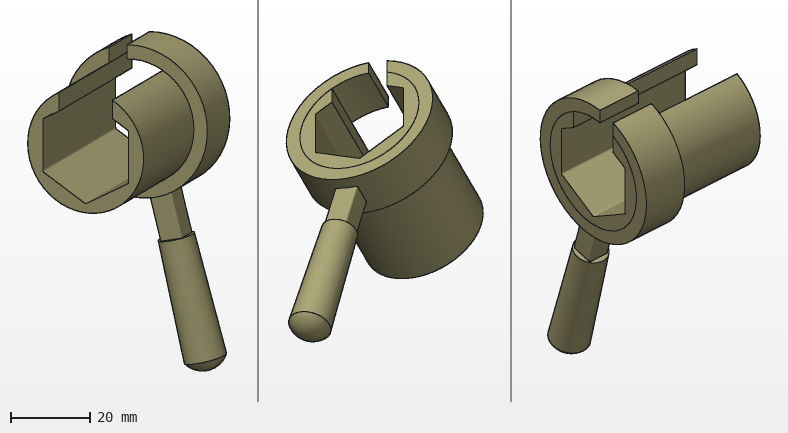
import cadquery as cq
import math


socket_length = 42.0
socket_diameter = 32.5
hex_across_flats = 24.0
hex_sides = 6
hex_corner_radius = 0.6
socket_slot_width = 15.0

ring_diameter = 40.0
ring_width = 13.0
ring_slot_width = 5.0

bar_angle = 14.75
bar_side = 6.35
bar_edge_radius = 0.6

grip_start = 32.0
grip_length = 32.0
grip_start_diameter = 9.4
grip_end_diameter = 11.0
grip_dome_height = 3.12

socket_radius = socket_diameter / 2
ring_radius = ring_diameter / 2
ring_middle = -ring_width / 2
slot_left = -socket_slot_width / 2


def cylinder_along_y(radius, length):
    """Cylinder from the back plane Y = 0 towards -Y."""
    return cq.Workplane("XZ").circle(radius).extrude(length)


def upward_slot(width, length):
    """Block that opens a slot upwards from the axis, starting at the common left wall of both slots."""
    block = cq.Workplane("XY").box(width, length, ring_diameter, centered=False)
    return block.translate((slot_left, -length, 0))


def make_socket():
    half_side_angle = 180 / hex_sides
    corner_diameter = hex_across_flats / math.cos(math.radians(half_side_angle))
    hexagon = (
        cq.Workplane("XZ")
        .polygon(hex_sides, corner_diameter)
        .extrude(socket_length)
        .rotate((0, 0, 0), (0, 1, 0), half_side_angle)
        .edges("|Y")
        .fillet(hex_corner_radius)
    )
    slot = upward_slot(socket_slot_width, socket_length)
    return cylinder_along_y(socket_radius, socket_length).cut(hexagon).cut(slot)


def place_on_ring(shape):
    """Swing a shape built along -Z about the ring axis and centre it on the ring width."""
    return shape.rotate((0, 0, 0), (0, 1, 0), -bar_angle).translate((0, ring_middle, 0))


def make_ring_with_bar():
    bar = (
        cq.Workplane("XY")
        .rect(bar_side, bar_side)
        .extrude(-grip_start)
        .edges("|Z")
        .fillet(bar_edge_radius)
    )
    slot = upward_slot(ring_slot_width, ring_width)
    bore = cylinder_along_y(socket_radius, ring_width)
    ring = cylinder_along_y(ring_radius, ring_width).cut(slot)
    return ring.union(place_on_ring(bar)).cut(bore)


def make_grip():
    start_radius = grip_start_diameter / 2
    end_radius = grip_end_diameter / 2
    grip_end = grip_start + grip_length
    dome_radius = (end_radius**2 + grip_dome_height**2) / (2 * grip_dome_height)
    dome_tip = grip_end + grip_dome_height
    half_angle = math.asin(end_radius / dome_radius) / 2
    dome_middle_x = dome_radius * math.sin(half_angle)
    dome_middle_z = dome_tip - dome_radius * (1 - math.cos(half_angle))
    grip = (
        cq.Workplane("XZ")
        .moveTo(0, -grip_start)
        .lineTo(-start_radius, -grip_start)
        .lineTo(-end_radius, -grip_end)
        .threePointArc((-dome_middle_x, -dome_middle_z), (0, -dome_tip))
        .close()
        .revolve(360, (0, 0, 0), (0, 1, 0))
    )
    return place_on_ring(grip)


socket = make_socket()
ring_with_bar = make_ring_with_bar()
grip = make_grip()

result = cq.Compound.makeCompound([socket.val(), ring_with_bar.val(), grip.val()])